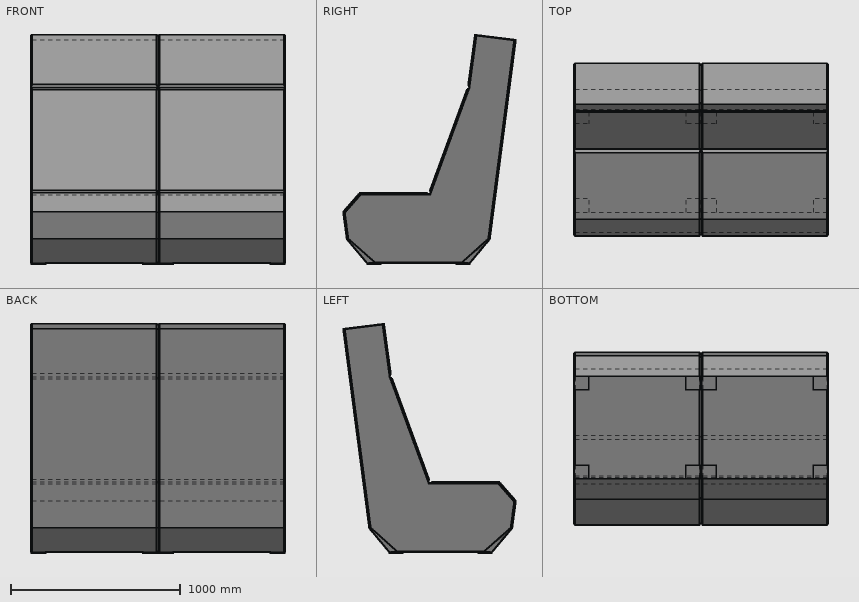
import cadquery as cq
import math

MODULE_COUNT = 2
MODULE_WIDTH = 750.0

FOOT_HEIGHT = 8.0
FOOT_WIDTH = 84.0
FOOT_INSET = 5.0
FOOT_DEPTH = 81.0

BASE_FRONT = 141.0
BASE_REAR = 745.0
SKIRT_TOP = 150.0
SKIRT_FRONT = 21.0
SKIRT_REAR = 864.0
NOSE_HEIGHT = 309.0
SEAT_FRONT = 99.0
SEAT_HEIGHT = 422.0
SEAT_REAR = 505.0
HEADREST_FRONT = 734.0
HEADREST_HEIGHT = 1042.0
TOP_FRONT = 775.0
TOP_FRONT_HEIGHT = 1352.0
TOP_REAR = 1017.0
TOP_REAR_HEIGHT = 1322.0

BEVEL_WIDTH = 10.0
BEVEL_INSET = 10.0
END_INSET = 5.0
SKIRT_TOP_INSET = 8.0
SKIRT_BASE_INSET = 35.0

GROOVE_REACH = 16.0

FRONT_PROFILE = [
    (BASE_FRONT, FOOT_HEIGHT),
    (SKIRT_FRONT, SKIRT_TOP),
    (0, NOSE_HEIGHT),
    (SEAT_FRONT, SEAT_HEIGHT),
]
SEAT_JOINT = (SEAT_REAR, SEAT_HEIGHT)
HEADREST_JOINT = (HEADREST_FRONT, HEADREST_HEIGHT)
REAR_PROFILE = [
    (TOP_FRONT, TOP_FRONT_HEIGHT),
    (TOP_REAR, TOP_REAR_HEIGHT),
    (SKIRT_REAR, SKIRT_TOP),
    (BASE_REAR, FOOT_HEIGHT),
]
PROFILE = FRONT_PROFILE + [SEAT_JOINT, HEADREST_JOINT] + REAR_PROFILE

EDGE_INSETS = [
    (SKIRT_BASE_INSET, SKIRT_TOP_INSET),
    (BEVEL_INSET, BEVEL_INSET),
    (BEVEL_INSET, BEVEL_INSET),
    (BEVEL_INSET, BEVEL_INSET),
    (BEVEL_INSET, BEVEL_INSET),
    (BEVEL_INSET, BEVEL_INSET),
    (END_INSET, END_INSET),
    (BEVEL_INSET, BEVEL_INSET),
    (SKIRT_TOP_INSET, SKIRT_BASE_INSET),
    (END_INSET, END_INSET),
]


def inset_edge(start, end, start_inset, end_inset):
    """Move both ends of a clockwise profile edge into the profile."""
    dy = end[0] - start[0]
    dz = end[1] - start[1]
    length = math.hypot(dy, dz)
    inward = (dz / length, -dy / length)
    moved_start = (start[0] + inward[0] * start_inset, start[1] + inward[1] * start_inset)
    moved_end = (end[0] + inward[0] * end_inset, end[1] + inward[1] * end_inset)
    return moved_start, moved_end


def intersect(first, second):
    """Crossing point of the lines through two edges."""
    (y1, z1), (y2, z2) = first
    (y3, z3), (y4, z4) = second
    denominator = (y2 - y1) * (z4 - z3) - (z2 - z1) * (y4 - y3)
    t = ((y3 - y1) * (z4 - z3) - (z3 - z1) * (y4 - y3)) / denominator
    return (y1 + t * (y2 - y1), z1 + t * (z2 - z1))


def side_profile():
    """Outline of the side face, smaller than the module profile by its bevels."""
    next_points = PROFILE[1:] + PROFILE[:1]
    edges = [inset_edge(p, q, *insets) for p, q, insets in zip(PROFILE, next_points, EDGE_INSETS)]
    return [intersect(edges[i - 1], edges[i]) for i in range(len(edges))]


SIDE_PROFILE = side_profile()


def point_towards(start, target, distance):
    """Point at a distance from start on the way to target."""
    ratio = distance / math.dist(start, target)
    return (start[0] + ratio * (target[0] - start[0]), start[1] + ratio * (target[1] - start[1]))


def profile_wire(points, x):
    return cq.Wire.makePolygon([cq.Vector(x, y, z) for y, z in points], close=True)


def groove_cutter(joint_index, x_start):
    """V groove along X between the two cushions that meet at a profile joint."""
    joint = PROFILE[joint_index]
    lower_lip = point_towards(joint, PROFILE[joint_index - 1], GROOVE_REACH)
    upper_lip = point_towards(joint, PROFILE[joint_index + 1], GROOVE_REACH)
    bottom = SIDE_PROFILE[joint_index]
    outline = [joint, lower_lip, bottom, upper_lip]
    return cq.Workplane("YZ", origin=(x_start, 0, 0)).polyline(outline).close().extrude(MODULE_WIDTH)


def make_module(x_start):
    """Seat, backrest and headrest of one module."""
    x_end = x_start + MODULE_WIDTH
    sections = [
        profile_wire(SIDE_PROFILE, x_start),
        profile_wire(PROFILE, x_start + BEVEL_WIDTH),
        profile_wire(PROFILE, x_end - BEVEL_WIDTH),
        profile_wire(SIDE_PROFILE, x_end),
    ]
    module = cq.Workplane(cq.Solid.makeLoft(sections, True))
    for joint in (SEAT_JOINT, HEADREST_JOINT):
        module = module.cut(groove_cutter(PROFILE.index(joint), x_start))
    return module


def make_foot(x, y):
    """Flat pad with its low X, low Y corner at the given place."""
    return cq.Workplane("XY").box(FOOT_WIDTH, FOOT_DEPTH, FOOT_HEIGHT, centered=False).translate((x, y, 0))


bodies = []
for number in range(MODULE_COUNT):
    module_start = number * MODULE_WIDTH
    bodies.append(make_module(module_start).val())
    for foot_x in (module_start + FOOT_INSET, module_start + MODULE_WIDTH - FOOT_INSET - FOOT_WIDTH):
        for foot_y in (BASE_FRONT, BASE_REAR - FOOT_DEPTH):
            bodies.append(make_foot(foot_x, foot_y).val())

result = cq.Compound.makeCompound(bodies)